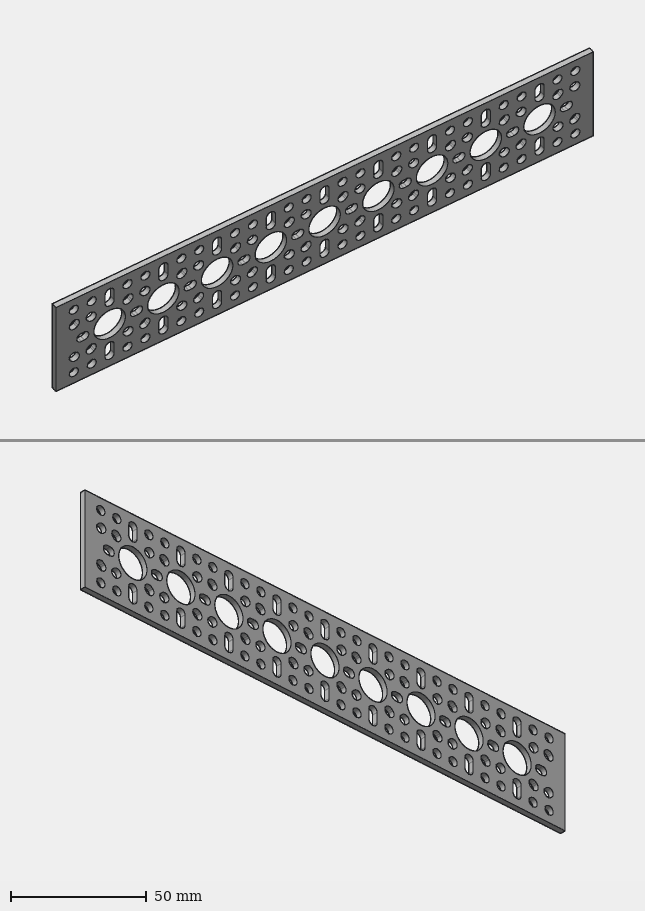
import cadquery as cq
import math

thickness = 2.5
length = 240.0
height = 43.0

pitch = 24.0
large_hole_count = 9
large_hole_diameter = 14.0
grid = 8.0
outer_row_height = 2 * grid
small_hole_diameter = 4.0
bolt_circle_radius = 12.0

inner_circle_radius = math.sqrt(2) * grid
upright_slot_inner_end = inner_circle_radius
upright_slot_outer_end = outer_row_height
upright_angle = 90
middle_slot_length = pitch - 2 * inner_circle_radius + small_hole_diameter

diagonal_angle = 45
bolt_circle_offset = bolt_circle_radius * math.sin(math.radians(diagonal_angle))
diagonal_slot_length = math.sqrt(2) * (bolt_circle_offset - grid) + small_hole_diameter
diagonal_slot_offset = (grid + bolt_circle_offset) / 2

large_hole_places = [(i - (large_hole_count - 1) / 2) * pitch for i in range(large_hole_count)]
middle_slot_places = [(i - large_hole_count / 2) * pitch for i in range(large_hole_count + 1)]
end_hole_centre = large_hole_places[-1] + pitch


def drill(plate, diameter, points):
    """Cut round holes at (y, z) points through the plate."""
    return plate.pushPoints(points).circle(diameter / 2).cutThruAll()


def mill_slots(plate, slot_length, points, angle):
    """Cut round-ended slots at (y, z) points, turned by angle from the Y axis."""
    return plate.pushPoints(points).slot2D(slot_length, small_hole_diameter, angle).cutThruAll()


def cut_large_holes(plate):
    return drill(plate, large_hole_diameter, [(y, 0) for y in large_hole_places])


def cut_outer_rows(plate):
    """Pairs of small holes above and below every middle slot, near the long edges."""
    points = []
    for y in middle_slot_places:
        for y_side in (-1, 1):
            for z_side in (-1, 1):
                points.append((y + y_side * grid / 2, z_side * outer_row_height))
    return drill(plate, small_hole_diameter, points)


def cut_diagonal_slots(plate):
    """Short slots around every large hole, and around the next pitch place at each plate end."""
    hole_centres = [-end_hole_centre] + large_hole_places + [end_hole_centre]
    for y_side in (-1, 1):
        for z_side in (-1, 1):
            points = []
            for y in hole_centres:
                place = y + y_side * diagonal_slot_offset
                if abs(place) < length / 2:
                    points.append((place, z_side * diagonal_slot_offset))
            plate = mill_slots(plate, diagonal_slot_length, points, diagonal_angle * y_side * z_side)
    return plate


def cut_upright_slots(plate):
    slot_length = upright_slot_outer_end - upright_slot_inner_end + small_hole_diameter
    slot_centre = (upright_slot_outer_end + upright_slot_inner_end) / 2
    points = [(y, side * slot_centre) for y in large_hole_places for side in (-1, 1)]
    return mill_slots(plate, slot_length, points, upright_angle)


def cut_middle_slots(plate):
    return mill_slots(plate, middle_slot_length, [(y, 0) for y in middle_slot_places], 0)


plate = cq.Workplane("YZ").box(length, height, thickness)
plate = cut_large_holes(plate)
plate = cut_outer_rows(plate)
plate = cut_diagonal_slots(plate)
plate = cut_upright_slots(plate)
result = cut_middle_slots(plate)